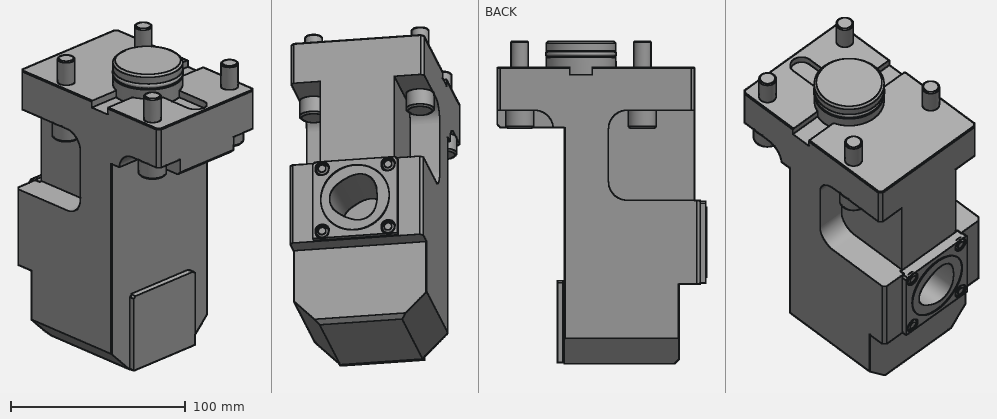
import cadquery as cq
import math


WIDTH = 77.5
HALF_WIDTH = WIDTH / 2
PLATE_LEFT = -65.0
PLATE_RIGHT = 48.0
PLATE_UNDERSIDE = -34.5
COLUMN_LEFT = -56.1
COLUMN_RIGHT = 9.6
BOTTOM = -169.5
FLANGE_LEFT = -68.0
FLANGE_TOP = -76.0
FLANGE_BOTTOM = -124.0
EDGE_CHAMFER = 1.8
EDGE_BREAK = 0.5
KEEL_CHAMFER = 14.8
TOE_CHAMFER = 2.5

WEB_WIDTH = 43.2
POCKET_TOP = -24.5
POCKET_RADIUS = 10.7
LEFT_POCKET_END = -15.7
RIGHT_POCKET_START = 15.9
POCKET_DEPTH = (WIDTH - WEB_WIDTH) / 2

GROOVE_WIDTH = 13.0
GROOVE_DEPTH = 4.2
KEYWAY_END = 45.2

SPINDLE_DIAMETER = 40.0
SPINDLE_TOP = 15.0
SPINDLE_CHAMFER = 1.3
SEAL_GROOVE_DIAMETER = 35.2
SEAL_GROOVE_BOTTOM = 5.7
SEAL_GROOVE_WIDTH = 3.7
SEAL_DIAMETER = 40.6
SEAL_THICKNESS = 2.8

BOLT_X = 35.0
BOLT_Y = 31.0
BOLT_DIAMETER = 10.0
BOLT_HEAD_DIAMETER = 16.0
BOLT_HEAD_HEIGHT = 10.3
BOLT_CHAMFER = 0.7
BOLT_HEAD_CHAMFER = 1.1

COVER_WIDTH = 49.3
COVER_HEIGHT = 46.9
COVER_FACE = -71.5
COVER_SEAT_WIDTH = 45.8
COVER_CHAMFER = 1.3
REAR_TENON_LENGTH = 0.7
TOOL_AXIS_Z = (FLANGE_TOP + FLANGE_BOTTOM) / 2
REAR_COVER_FACE = 13.5
REAR_COVER_TOP = -122.0

SCREW_OFFSET = 19.2
SCREW_RECESS_DIAMETER = 8.1
SCREW_RECESS_DEPTH = 1.8
SCREW_DIAMETER = 7.2
SCREW_TIP_DIAMETER = 4.5
SCREW_CONE_HEIGHT = 0.7

NOSE_DIAMETER = 39.9
NOSE_FACE = -72.0
SOCKET_RADIUS = 13.8
SOCKET_LOBE = 1.0
SOCKET_DEPTH = 36.9
SOCKET_TAPER = 1.4
SOCKET_POINTS = 36


def box(x0, x1, y0, y1, z0, z1):
    """Box between two limits on each axis."""
    return cq.Workplane("XY").box(x1 - x0, y1 - y0, z1 - z0, centered=False).translate((x0, y0, z0))


def round_bar(diameter, z0, z1):
    """Upright cylinder on the Z axis."""
    return cq.Workplane("XY").workplane(offset=z0).circle(diameter / 2).extrude(z1 - z0)


def bar_along_x(diameter, x0, x1):
    """Cylinder on the tool axis, running in +X from x0 to x1."""
    return cq.Workplane("YZ", origin=(x0, 0, TOOL_AXIS_Z)).circle(diameter / 2).extrude(x1 - x0)


def make_housing():
    plate = box(PLATE_LEFT, PLATE_RIGHT, -HALF_WIDTH, HALF_WIDTH, PLATE_UNDERSIDE, 0)
    plate = plate.edges("|Z").chamfer(EDGE_CHAMFER)
    plate = plate.edges(">X and <Z").chamfer(EDGE_CHAMFER)
    plate = plate.faces(">Z").edges().chamfer(EDGE_BREAK)
    upper = box(PLATE_LEFT, COLUMN_RIGHT, -HALF_WIDTH, HALF_WIDTH, FLANGE_TOP, POCKET_TOP)
    upper = upper.edges(">X and |Z").chamfer(EDGE_BREAK)

    flange = box(FLANGE_LEFT, COLUMN_RIGHT, -HALF_WIDTH, HALF_WIDTH, FLANGE_BOTTOM, FLANGE_TOP)
    flange = flange.edges("<X and |Z").chamfer(EDGE_CHAMFER)
    flange = flange.edges(">X and |Z").chamfer(EDGE_BREAK)

    column = box(COLUMN_LEFT, COLUMN_RIGHT, -HALF_WIDTH, HALF_WIDTH, BOTTOM, FLANGE_BOTTOM)
    column = column.edges("|Z").chamfer(EDGE_BREAK)
    column = column.faces("<Z").edges("|X").chamfer(KEEL_CHAMFER)
    column = column.faces("<Z").edges("<X").chamfer(TOE_CHAMFER)
    return plate.union(upper).union(flange).union(column)


def cut_side_pockets(body):
    left = box(2 * PLATE_LEFT, LEFT_POCKET_END, 0, POCKET_DEPTH, FLANGE_TOP, POCKET_TOP)
    left = left.edges(">X and |Y").fillet(POCKET_RADIUS)
    right = box(RIGHT_POCKET_START, 2 * PLATE_RIGHT, 0, POCKET_DEPTH, FLANGE_TOP, POCKET_TOP)
    right = right.edges("<X and >Z").fillet(POCKET_RADIUS)
    for y in (-HALF_WIDTH, HALF_WIDTH - POCKET_DEPTH):
        body = body.cut(left.translate((0, y, 0)))
        body = body.cut(right.translate((0, y, 0)))
    return body


def cut_top_grooves(body):
    half = GROOVE_WIDTH / 2
    cross_groove = box(-half, half, -HALF_WIDTH, HALF_WIDTH, -GROOVE_DEPTH, 0)
    keyway = box(0, KEYWAY_END - half, -half, half, -GROOVE_DEPTH, 0)
    keyway_end = round_bar(GROOVE_WIDTH, -GROOVE_DEPTH, 0).translate((KEYWAY_END - half, 0, 0))
    return body.cut(cross_groove).cut(keyway).cut(keyway_end)


def make_spindle():
    seal_groove_top = SEAL_GROOVE_BOTTOM + SEAL_GROOVE_WIDTH
    spindle = round_bar(SPINDLE_DIAMETER, -GROOVE_DEPTH, SPINDLE_TOP).faces(">Z").chamfer(SPINDLE_CHAMFER)
    groove = round_bar(2 * SPINDLE_DIAMETER, SEAL_GROOVE_BOTTOM, seal_groove_top)
    groove = groove.cut(round_bar(SEAL_GROOVE_DIAMETER, SEAL_GROOVE_BOTTOM, seal_groove_top))
    seal = cq.Solid.makeTorus(
        (SEAL_DIAMETER - SEAL_THICKNESS) / 2,
        SEAL_THICKNESS / 2,
        cq.Vector(0, 0, SEAL_GROOVE_BOTTOM + SEAL_GROOVE_WIDTH / 2),
    )
    return spindle.cut(groove).union(cq.Workplane(seal))


def add_mounting_bolts(body):
    shank = round_bar(BOLT_DIAMETER, POCKET_TOP, SPINDLE_TOP).faces(">Z").chamfer(BOLT_CHAMFER)
    head = round_bar(BOLT_HEAD_DIAMETER, POCKET_TOP - BOLT_HEAD_HEIGHT, POCKET_TOP)
    bolt = shank.union(head.faces("<Z").chamfer(BOLT_HEAD_CHAMFER))
    for x in (-BOLT_X, BOLT_X):
        for y in (-BOLT_Y, BOLT_Y):
            body = body.union(bolt.translate((x, y, 0)))
    return body


def make_cover(x0, x1, top):
    half = COVER_WIDTH / 2
    cover = box(x0, x1, -half, half, top - COVER_HEIGHT, top)
    return cover.edges("|X and >Z").chamfer(COVER_CHAMFER)


def add_front_cover(body):
    half_seat = COVER_SEAT_WIDTH / 2
    cover_top = TOOL_AXIS_Z + COVER_HEIGHT / 2
    seat = box(FLANGE_LEFT, PLATE_LEFT, -half_seat, half_seat, cover_top, FLANGE_TOP)
    cover = make_cover(COVER_FACE, FLANGE_LEFT, cover_top)
    nose = bar_along_x(NOSE_DIAMETER, NOSE_FACE, FLANGE_LEFT)
    return body.cut(seat).union(cover).union(nose)


def add_rear_cover(body):
    half_tenon = COVER_SEAT_WIDTH / 2
    cover_start = COLUMN_RIGHT + REAR_TENON_LENGTH
    cover_bottom = REAR_COVER_TOP - COVER_HEIGHT
    tenon = box(COLUMN_RIGHT, cover_start, -half_tenon, half_tenon, cover_bottom, REAR_COVER_TOP)
    return body.union(tenon).union(make_cover(cover_start, REAR_COVER_FACE, REAR_COVER_TOP))


def add_cover_screws(body):
    recess = bar_along_x(SCREW_RECESS_DIAMETER, COVER_FACE, COVER_FACE + SCREW_RECESS_DEPTH)
    screw = bar_along_x(SCREW_DIAMETER, COVER_FACE, COVER_FACE + SCREW_RECESS_DEPTH)
    cone_width = (SCREW_DIAMETER - SCREW_TIP_DIAMETER) / 2
    screw = screw.faces("<X").chamfer(SCREW_CONE_HEIGHT, cone_width)
    for y in (-SCREW_OFFSET, SCREW_OFFSET):
        for z in (-SCREW_OFFSET, SCREW_OFFSET):
            body = body.cut(recess.translate((0, y, z))).union(screw.translate((0, y, z)))
    return body


def socket_outline(shrink):
    """Three-lobed outline with one lobe toward +Y, as (y, z) points about the tool axis."""
    points = []
    for i in range(SOCKET_POINTS):
        angle = 2 * math.pi * i / SOCKET_POINTS
        radius = SOCKET_RADIUS - shrink + SOCKET_LOBE * math.cos(3 * angle)
        points.append((radius * math.cos(angle), radius * math.sin(angle)))
    return points


def cut_tool_socket(body):
    shrink = SOCKET_DEPTH * math.tan(math.radians(SOCKET_TAPER))
    socket = (
        cq.Workplane("YZ", origin=(NOSE_FACE, 0, TOOL_AXIS_Z))
        .spline(socket_outline(0), periodic=True)
        .close()
        .workplane(offset=SOCKET_DEPTH)
        .spline(socket_outline(shrink), periodic=True)
        .close()
        .loft()
    )
    return body.cut(socket)


housing = cut_top_grooves(cut_side_pockets(make_housing()))
housing = housing.union(make_spindle())
housing = add_mounting_bolts(housing)
housing = add_rear_cover(add_front_cover(housing))
housing = add_cover_screws(housing)
result = cut_tool_socket(housing)